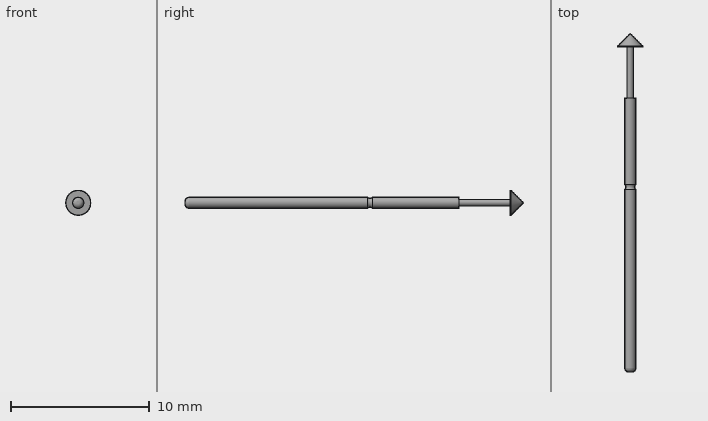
import cadquery as cq
import math

total_length = 24.4
head_radius = 0.9
cone_height = 0.9
rim_thickness = 0.07
stem_radius = 0.25
barrel_length = 19.75
barrel_radius = 0.403
tail_round = 0.3
groove_start = 13.15
groove_width = 0.37
groove_depth = 0.07

rim_front = total_length - cone_height
rim_back = rim_front - rim_thickness
groove_middle = groove_start + groove_width / 2
groove_end = groove_start + groove_width
groove_floor_radius = barrel_radius - groove_depth

groove_arc_radius = ((groove_width / 2) ** 2 + groove_depth**2) / (2 * groove_depth)
groove_arc_center = groove_floor_radius + groove_arc_radius
groove_half_angle = math.asin(groove_width / 2 / groove_arc_radius)


def groove_point(angle):
    """Point on the groove arc, at an angle from its deepest point."""
    return (
        groove_arc_center - groove_arc_radius * math.cos(angle),
        groove_middle + groove_arc_radius * math.sin(angle),
    )


tail_round_middle = (
    barrel_radius - tail_round + tail_round * math.sin(math.pi / 4),
    tail_round - tail_round * math.cos(math.pi / 4),
)

profile = (
    cq.Workplane("XY")
    .lineTo(barrel_radius - tail_round, 0)
    .threePointArc(tail_round_middle, (barrel_radius, tail_round))
    .lineTo(barrel_radius, groove_start)
    .threePointArc(groove_point(-groove_half_angle / 2), (groove_floor_radius, groove_middle))
    .threePointArc(groove_point(groove_half_angle / 2), (barrel_radius, groove_end))
    .lineTo(barrel_radius, barrel_length)
    .lineTo(stem_radius, barrel_length)
    .lineTo(stem_radius, rim_back)
    .lineTo(head_radius, rim_back)
    .lineTo(head_radius, rim_front)
    .lineTo(0, total_length)
    .close()
)

result = profile.revolve(360, (0, 0, 0), (0, 1, 0))